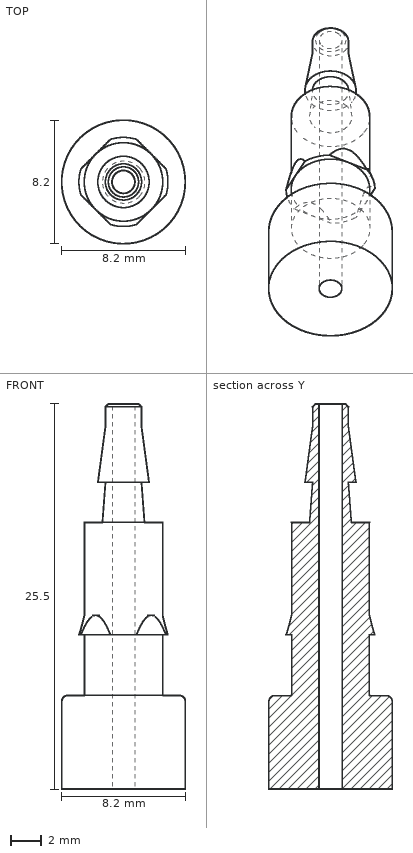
import cadquery as cq

base_height = 6.2
collar_bottom_z = 10.2
collar_top_z = 11.5
body_top_z = 17.65
barb_bottom_z = 20.3
barb_top_z = 24.0
total_height = 25.5

base_diameter = 8.2
body_diameter = 5.2
collar_diameter = 5.9
neck_root_diameter = 2.8
tip_diameter = 2.4
barb_diameter = 3.4
bore_diameter = 1.5

base_fillet = 0.4
tip_chamfer = 0.2

flat_spacing = body_diameter
flat_angle = 45


def cylinder(diameter, bottom_z, top_z):
    return cq.Workplane("XY", origin=(0, 0, bottom_z)).circle(diameter / 2).extrude(top_z - bottom_z)


def cone(bottom_diameter, top_diameter, bottom_z, top_z):
    return (
        cq.Workplane("XZ")
        .moveTo(0, bottom_z)
        .lineTo(bottom_diameter / 2, bottom_z)
        .lineTo(top_diameter / 2, top_z)
        .lineTo(0, top_z)
        .close()
        .revolve(360, (0, 0, 0), (0, 1, 0))
    )


def make_base():
    return cylinder(base_diameter, 0, base_height).faces(">Z").edges().fillet(base_fillet)


def make_body():
    return cylinder(body_diameter, base_height, body_top_z)


def make_collar():
    """Conical latching collar with four flats, widest at its lower edge."""
    flats = (
        cq.Workplane("XY", origin=(0, 0, collar_bottom_z))
        .rect(flat_spacing, flat_spacing)
        .extrude(collar_top_z - collar_bottom_z)
        .rotate((0, 0, 0), (0, 0, 1), flat_angle)
    )
    return cone(collar_diameter, body_diameter, collar_bottom_z, collar_top_z).intersect(flats)


def make_hose_barb():
    """Tapered neck, conical barb and straight tip with a chamfered end."""
    neck = cone(neck_root_diameter, tip_diameter, body_top_z, barb_bottom_z)
    barb = cone(barb_diameter, tip_diameter, barb_bottom_z, barb_top_z)
    tip = cylinder(tip_diameter, barb_top_z, total_height).faces(">Z").edges().chamfer(tip_chamfer)
    return neck.union(barb).union(tip)


bore = cylinder(bore_diameter, 0, total_height)

result = make_base().union(make_body()).union(make_collar()).union(make_hose_barb()).cut(bore)